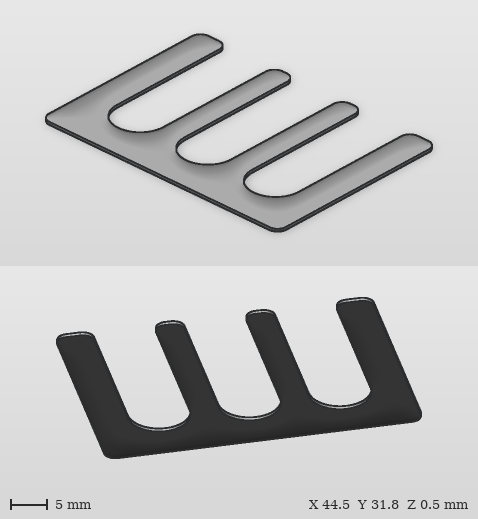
import cadquery as cq

length = 44.45
depth = 31.75
thickness = 0.5
corner_radius = 1.6

slot_count = 3
slot_width = 8.7
slot_pitch = 12.7
web_depth = 5.3

front_y = -depth / 2
back_y = depth / 2


def slot_cutter(center_x):
    """Slot with a full-round bottom, open through the back edge."""
    radius = slot_width / 2
    round_start_y = front_y + web_depth + radius
    return (
        cq.Workplane("XY")
        .moveTo(center_x - radius, back_y)
        .lineTo(center_x - radius, round_start_y)
        .threePointArc((center_x, front_y + web_depth), (center_x + radius, round_start_y))
        .lineTo(center_x + radius, back_y)
        .close()
        .extrude(thickness)
    )


plate = cq.Workplane("XY").rect(length, depth).extrude(thickness)
for index in range(slot_count):
    offset = index - (slot_count - 1) / 2
    plate = plate.cut(slot_cutter(offset * slot_pitch))

finger_tips = plate.faces(">Y").edges("|Z")
front_corners = plate.faces("<Y").edges("|Z")
result = plate.newObject(finger_tips.vals() + front_corners.vals()).fillet(corner_radius)